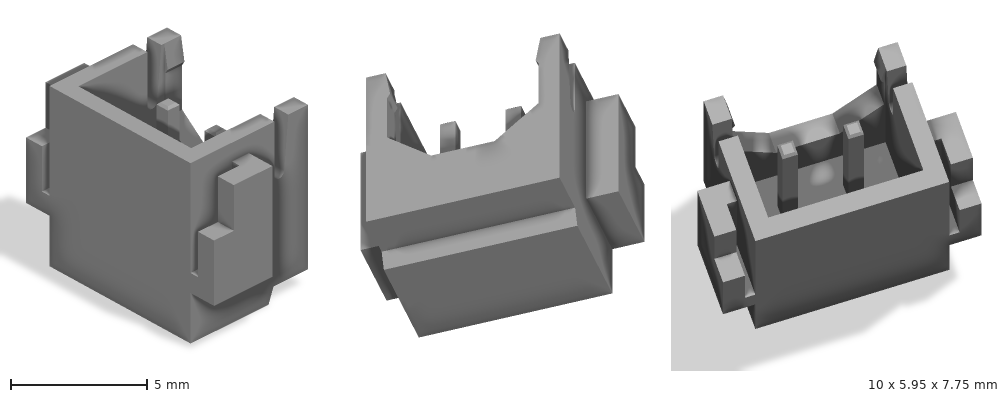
import cadquery as cq
import math

body_width = 7.5
body_depth = 5.95
body_height = 7.75
wall = 0.75
floor_thickness = 1.2
rear_wall = 0.85

rear_foot_height = 0.68
foot_top_y = 4.2
foot_bottom_y = 3.95

notch_bottom_width = 2.46
notch_bottom_z = 3.2
notch_top_z = 4.58
leg_inset = 0.06

latch_reach = 0.18
latch_tip_z = 6.7
latch_root_z = 6.5

slot_front_y = 4.24
slot_top_width = 0.71
slot_radius = 0.25
slot_bottom_z = 5.2

overall_width = 10.0
wing_depth = 2.95
wing_bottom_z = 2.17
wing_top_z = 6.94
wing_step_depth = 1.0
wing_step_z = 4.98
gap_width = 0.4
gap_depth = 2.1
gap_bottom_z = 3.03

pin_size = 0.6
pin_pitch = 2.55
pin_y = 3.65
pin_top_z = 6.6
pin_chamfer = 0.1

half_body = body_width / 2
half_cavity = half_body - wall
cavity_back_y = body_depth - rear_wall
wing_width = (overall_width - body_width) / 2


def box(x, y, z, width, depth, height):
    """Box with its minimum corner at (x, y, z)."""
    return cq.Workplane("XY").box(width, depth, height, centered=False).translate((x, y, z))


def make_shell():
    """Housing with its stepped underside and the open-topped cavity."""
    shell = (
        cq.Workplane("YZ", origin=(-half_body, 0, 0))
        .polyline([
            (0, 0),
            (foot_bottom_y, 0),
            (foot_top_y, rear_foot_height),
            (body_depth, rear_foot_height),
            (body_depth, body_height),
            (0, body_height),
        ])
        .close()
        .extrude(body_width)
    )
    cavity = box(
        -half_cavity, wall, floor_thickness,
        2 * half_cavity, cavity_back_y - wall, body_height - floor_thickness,
    )
    return shell.cut(cavity)


def make_rear_opening():
    """Rear-wall cutter whose upper flanks leave the two latches standing."""
    right_side = [
        (notch_bottom_width / 2, notch_bottom_z),
        (half_cavity - leg_inset, notch_top_z),
        (half_cavity - leg_inset, latch_root_z),
        (half_cavity - latch_reach, latch_tip_z),
        (half_cavity, body_height),
    ]
    left_side = [(-x, z) for x, z in reversed(right_side)]
    return (
        cq.Workplane("XZ", origin=(0, body_depth, 0))
        .polyline(right_side + left_side)
        .close()
        .extrude(rear_wall)
    )


def make_leg_slots():
    """Round-bottomed slot cutter with a sloping rear flank, through both side walls."""
    center_y = slot_front_y + slot_radius
    center_z = slot_bottom_z + slot_radius
    run = slot_top_width - slot_radius
    rise = body_height - center_z
    flank_angle = math.atan2(rise, run) - math.acos(slot_radius / math.hypot(run, rise))
    tangent_y = center_y + slot_radius * math.cos(flank_angle)
    tangent_z = center_z + slot_radius * math.sin(flank_angle)
    return (
        cq.Workplane("YZ", origin=(-half_body, 0, 0))
        .moveTo(slot_front_y, body_height)
        .lineTo(slot_front_y, center_z)
        .threePointArc((center_y, slot_bottom_z), (tangent_y, tangent_z))
        .lineTo(slot_front_y + slot_top_width, body_height)
        .close()
        .extrude(body_width)
    )


def make_wing():
    """Right-hand wing: stepped block with a gap beside the side wall."""
    wing = (
        cq.Workplane("YZ", origin=(half_body, 0, 0))
        .polyline([
            (0, wing_bottom_z),
            (wing_depth, wing_bottom_z),
            (wing_depth, wing_top_z),
            (wing_step_depth, wing_top_z),
            (wing_step_depth, wing_step_z),
            (0, wing_step_z),
        ])
        .close()
        .extrude(wing_width)
    )
    gap = box(half_body, 0, gap_bottom_z, gap_width, gap_depth, wing_top_z - gap_bottom_z)
    return wing.cut(gap)


def make_pin(x):
    """Square pin standing on the cavity floor, with a chamfered tip."""
    root_z = floor_thickness / 2
    pin = box(x - pin_size / 2, pin_y - pin_size / 2, root_z, pin_size, pin_size, pin_top_z - root_z)
    return pin.faces(">Z").chamfer(pin_chamfer)


result = make_shell().cut(make_rear_opening()).cut(make_leg_slots())

right_wing = make_wing()
result = result.union(right_wing).union(right_wing.mirror("YZ"))

for side in (-1, 1):
    result = result.union(make_pin(side * pin_pitch / 2))